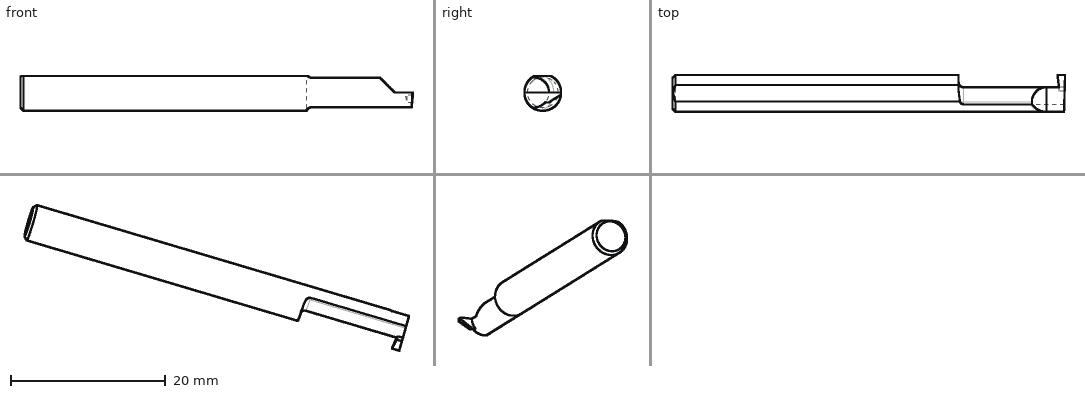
import cadquery as cq

length = 50.8
shank_radius = 2.4
shank_flat_height = 2.15
rear_chamfer = 0.4

shank_length = 37.05
neck_radius = 1.95
neck_side = 0.8
neck_center_y = neck_side - neck_radius
neck_fillet = 0.6

head_start = 48.4
rake_face_z = 0.0
bevel_run = neck_radius - rake_face_z
end_side_relief = 1.5
end_front_relief = 3.0

tooth_root_x = 50.0
tooth_corner_x = 49.8
tooth_tip_y = shank_radius
tooth_land_drop = 0.3
tooth_land_relief = 0.05
tooth_depth = 1.25

margin = 2.55


def make_bar():
    """Round bar with a rear chamfer and a flat along the top."""
    bar = cq.Workplane("YZ").circle(shank_radius).extrude(length).faces("<X").chamfer(rear_chamfer)
    flat_cut = (
        cq.Workplane("XY", origin=(0, 0, shank_flat_height))
        .rect(2 * (length + margin), 2 * (shank_radius + margin))
        .extrude(margin)
    )
    return bar.cut(flat_cut)


def make_envelope():
    """Square block around the shank, filleted into the rounded neck."""
    reach = shank_radius + margin
    block = (
        cq.Workplane("YZ")
        .rect(4 * reach, 2 * reach)
        .extrude(shank_length)
    )
    neck = (
        cq.Workplane("YZ", origin=(shank_length, 0, 0))
        .moveTo(-reach, -neck_radius)
        .lineTo(neck_center_y, -neck_radius)
        .threePointArc((neck_side, 0), (neck_center_y, neck_radius))
        .lineTo(-reach, neck_radius)
        .close()
        .extrude(length - shank_length)
    )
    corner = cq.selectors.BoxSelector(
        (shank_length - neck_fillet / 2, -reach, -neck_radius - neck_fillet),
        (shank_length + neck_fillet / 2, neck_side + neck_fillet, neck_radius + neck_fillet),
    )
    return block.union(neck).edges(corner).edges("#X").fillet(neck_fillet)


def make_head_cut():
    """Removes the upper half of the head, with a sloping run-out."""
    return (
        cq.Workplane("XZ")
        .moveTo(length + margin, rake_face_z)
        .lineTo(head_start, rake_face_z)
        .lineTo(head_start - bevel_run, neck_radius)
        .lineTo(head_start - bevel_run - margin, neck_radius + margin)
        .lineTo(length + margin, neck_radius + margin)
        .close()
        .extrude(shank_radius + margin, both=True)
    )


def make_tooth():
    """Back-tapered tooth, relieved below its cutting edge."""
    plan = (
        cq.Workplane("XY", origin=(0, 0, rake_face_z))
        .moveTo(tooth_root_x, neck_center_y)
        .lineTo(tooth_root_x, neck_side)
        .lineTo(tooth_corner_x, tooth_tip_y)
        .lineTo(length, tooth_tip_y)
        .lineTo(length, neck_center_y)
        .close()
        .extrude(-tooth_depth)
    )
    section = (
        cq.Workplane("YZ")
        .moveTo(neck_center_y, rake_face_z)
        .lineTo(tooth_tip_y, rake_face_z)
        .lineTo(tooth_tip_y - tooth_land_relief, rake_face_z - tooth_land_drop)
        .lineTo(neck_side, rake_face_z - tooth_depth)
        .lineTo(neck_center_y, rake_face_z - tooth_depth)
        .close()
        .extrude(length)
    )
    return plan.intersect(section)


def make_end_relief():
    """Trims the front end back from the tooth's leading corner."""
    size = 2 * (2 * shank_radius + margin)
    return (
        cq.Workplane("XY")
        .box(margin, size, size, centered=(False, True, True))
        .rotate((0, 0, 0), (0, 1, 0), end_front_relief)
        .rotate((0, 0, 0), (0, 0, 1), -end_side_relief)
        .translate((length, tooth_tip_y, rake_face_z))
    )


body = make_bar().intersect(make_envelope()).cut(make_head_cut())
result = body.union(make_tooth()).cut(make_end_relief())